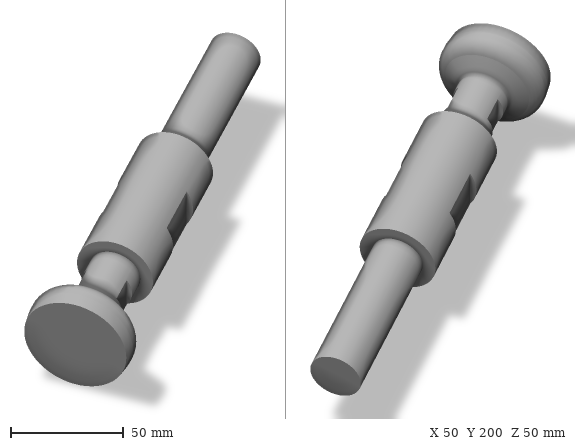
import cadquery as cq

TOTAL_LENGTH = 200.0

SHAFT_RADIUS = 12.0
SHAFT_FLATS_WIDTH = 18.8
SHAFT_FLATS_START = 26.8
SHAFT_FLATS_LENGTH = 12.5

SLEEVE_RADIUS = 18.0
SLEEVE_START = 49.5
SLEEVE_LENGTH = 75.0
SLEEVE_FLATS_WIDTH = 30.0
SLEEVE_FLATS_LENGTH = SLEEVE_LENGTH / 3
SLEEVE_FLATS_START = SLEEVE_START + (SLEEVE_LENGTH - SLEEVE_FLATS_LENGTH) / 2

HEAD_RADIUS = 25.0
FACE_RADIUS = 24.2
RIM_LENGTH = 6.0
BAND_END = 9.0
SHOULDER_RADIUS = 20.0
SHOULDER_END = 15.8
FLARE_RADIUS = 13.0
FLARE_END = 19.5
NECK_END = 21.2
FLARE_MIDDLE_RADIUS = 16.2
FLARE_MIDDLE = 18.0


def cut_flats(body, radius, width, start, length):
    """Cut two opposite flats, a given width apart along X, into a round body."""
    depth = radius - width / 2
    for side in (-1, 1):
        cutter = cq.Workplane("XY").box(depth, length, 2 * radius).translate(
            (side * (radius - depth / 2), start + length / 2, 0)
        )
        body = body.cut(cutter)
    return body


def make_plunger():
    """Revolve the shaft and head as one solid, then cut the shaft flats."""
    body = (
        cq.Workplane("XY")
        .lineTo(FACE_RADIUS, 0)
        .lineTo(HEAD_RADIUS, RIM_LENGTH)
        .lineTo(HEAD_RADIUS, BAND_END)
        .tangentArcPoint((SHOULDER_RADIUS, SHOULDER_END), relative=False)
        .threePointArc((FLARE_MIDDLE_RADIUS, FLARE_MIDDLE), (FLARE_RADIUS, FLARE_END))
        .tangentArcPoint((SHAFT_RADIUS, NECK_END), relative=False)
        .lineTo(SHAFT_RADIUS, TOTAL_LENGTH)
        .lineTo(0, TOTAL_LENGTH)
        .close()
        .revolve(360, (0, 0, 0), (0, 1, 0))
    )
    return cut_flats(body, SHAFT_RADIUS, SHAFT_FLATS_WIDTH, SHAFT_FLATS_START, SHAFT_FLATS_LENGTH)


def make_sleeve():
    """Make the tube that fits around the shaft, with flats on both sides."""
    tube = (
        cq.Workplane("XZ", origin=(0, SLEEVE_START, 0))
        .circle(SLEEVE_RADIUS)
        .circle(SHAFT_RADIUS)
        .extrude(-SLEEVE_LENGTH)
    )
    return cut_flats(tube, SLEEVE_RADIUS, SLEEVE_FLATS_WIDTH, SLEEVE_FLATS_START, SLEEVE_FLATS_LENGTH)


plunger = make_plunger()
sleeve = make_sleeve()

result = cq.Compound.makeCompound([plunger.val(), sleeve.val()])